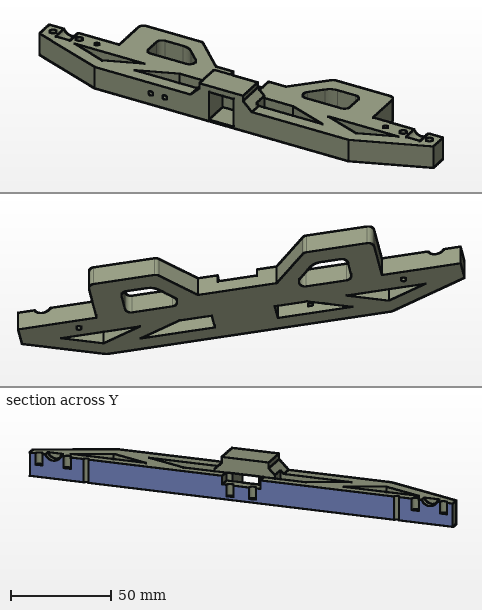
import cadquery as cq
import math

HALF_LENGTH = 112.5
BEAM_HEIGHT = 12.5
BEAM_FRONT = 15.0
END_BACK = 25.0
MIDDLE_BACK = 30.0
SHOULDER_X = 72.5
STRUT_WIDTH = 7.0

TOWER_BACK = 47.43
TOWER_FOOT_X = 20.0
TOWER_WALL = 8.0
TOWER_OUTER_WALL = 15.0
WINDOW_INNER_X = 31.0
CORNER_RADIUS = 3.0
WINDOW_BEND_RADIUS = 8.0

PART_HEIGHT = 20.5
BOSS_CENTER_X = -0.25
BOSS_HALF_TOP = 12.5
BOSS_SLOPE = 5.0
BOSS_HALF_SOCKET = 16.0
SOCKET_WIDTH = 14.0
SOCKET_FLOOR = 1.0
SOCKET_ROOF = 17.0
SOCKET_BACK_WALL = 1.0

NOTCH_WIDTH = 20.0
NOTCH_FLOOR = 8.0

HOLE_ROW_Y = 20.0
SCREW_DIAMETER = 3.6
SCREW_DEPTH = 6.0
NOTCH_SCREW_X = 6.0
GROOVE_X = 100.0
GROOVE_HALF_WIDTH = 4.0
GROOVE_RADIUS = 4.25
GROOVE_LENGTH = 8.5
GROOVE_SCREW_OFFSET = 7.5
PIN_DIAMETER = 2.5
PIN_X = 82.5
FRONT_HOLE_XS = (-40.5, -32.5)
FRONT_HOLE_Z = 6.5

TAPER_SLOPE = BEAM_FRONT / (HALF_LENGTH - SHOULDER_X)
STRUT_RISE = STRUT_WIDTH * math.hypot(1, TAPER_SLOPE)


def box(x_min, x_max, y_min, y_max, z_min, z_max):
    size = (x_max - x_min, y_max - y_min, z_max - z_min)
    return cq.Workplane("XY").box(*size, centered=False).translate((x_min, y_min, z_min))


def prism(points):
    return cq.Workplane("XY").polyline(points).close().extrude(BEAM_HEIGHT)


def mirrored_pair(right_side):
    return right_side.union(right_side.mirror("YZ"))


def vertical_hole(x, diameter, depth, top):
    return (
        cq.Workplane("XY", origin=(x, HOLE_ROW_Y, top - depth))
        .circle(diameter / 2)
        .extrude(depth)
    )


def fillet_upright_edge(body, x, y, radius):
    return body.edges(cq.selectors.NearestToPointSelector((x, y, BEAM_HEIGHT / 2))).fillet(radius)


def beam_half():
    tower_top_x = TOWER_FOOT_X + TOWER_BACK - MIDDLE_BACK
    half = prism([
        (0, 0),
        (SHOULDER_X, 0),
        (HALF_LENGTH, BEAM_FRONT),
        (HALF_LENGTH, END_BACK),
        (SHOULDER_X, END_BACK),
        (SHOULDER_X, TOWER_BACK),
        (tower_top_x, TOWER_BACK),
        (TOWER_FOOT_X, MIDDLE_BACK),
        (0, MIDDLE_BACK),
    ])
    for x in (SHOULDER_X, tower_top_x):
        half = fillet_upright_edge(half, x, TOWER_BACK, CORNER_RADIUS)
    return half


def tower_window():
    outer_x = SHOULDER_X - TOWER_OUTER_WALL
    back = TOWER_BACK - TOWER_WALL
    flank_offset = TOWER_FOOT_X - MIDDLE_BACK + TOWER_WALL * math.sqrt(2)
    bend = (back + flank_offset, back)
    corners = [
        (outer_x, END_BACK),
        (outer_x, back),
        (WINDOW_INNER_X, WINDOW_INNER_X - flank_offset),
        (WINDOW_INNER_X, END_BACK),
    ]
    window = prism([*corners[:2], bend, *corners[2:]])
    window = fillet_upright_edge(window, *bend, WINDOW_BEND_RADIUS)
    for corner in corners:
        window = fillet_upright_edge(window, *corner, CORNER_RADIUS)
    return window


def outer_truss_opening():
    half_width = (BEAM_FRONT - STRUT_RISE) / TAPER_SLOPE
    return prism([
        (SHOULDER_X - half_width, BEAM_FRONT),
        (SHOULDER_X, STRUT_RISE),
        (SHOULDER_X + half_width, BEAM_FRONT),
    ])


def inner_truss_opening():
    return prism([
        (BOSS_HALF_SOCKET, STRUT_WIDTH),
        (SHOULDER_X - STRUT_WIDTH / TAPER_SLOPE, STRUT_WIDTH),
        (SHOULDER_X - BEAM_FRONT / TAPER_SLOPE, BEAM_FRONT),
        (BOSS_HALF_SOCKET, BEAM_FRONT),
    ])


def boss():
    half_foot = BOSS_HALF_TOP + BOSS_SLOPE
    body = (
        cq.Workplane("XZ", origin=(BOSS_CENTER_X, 0, 0))
        .polyline([
            (-half_foot, BEAM_HEIGHT),
            (-BOSS_HALF_TOP, BEAM_HEIGHT + BOSS_SLOPE),
            (-BOSS_HALF_TOP, PART_HEIGHT),
            (BOSS_HALF_TOP, PART_HEIGHT),
            (BOSS_HALF_TOP, BEAM_HEIGHT + BOSS_SLOPE),
            (half_foot, BEAM_HEIGHT),
        ])
        .close()
        .extrude(-BEAM_FRONT)
    )
    overhang_end = half_foot + abs(BOSS_CENTER_X)
    overhang = box(BOSS_HALF_SOCKET, overhang_end, STRUT_WIDTH, BEAM_FRONT, BEAM_HEIGHT, PART_HEIGHT)
    return body.cut(mirrored_pair(overhang))


def socket():
    left = BOSS_CENTER_X - SOCKET_WIDTH / 2
    right = BOSS_CENTER_X + SOCKET_WIDTH / 2
    return box(left, right, 0, BEAM_FRONT - SOCKET_BACK_WALL, SOCKET_FLOOR, SOCKET_ROOF)


def notch():
    half = NOTCH_WIDTH / 2
    return box(-half, half, BEAM_FRONT - SOCKET_BACK_WALL, MIDDLE_BACK, NOTCH_FLOOR, BEAM_HEIGHT)


def groove():
    axis_lift = math.sqrt(GROOVE_RADIUS**2 - GROOVE_HALF_WIDTH**2)
    return (
        cq.Workplane("XZ", origin=(GROOVE_X, END_BACK, BEAM_HEIGHT + axis_lift))
        .circle(GROOVE_RADIUS)
        .extrude(GROOVE_LENGTH)
    )


def front_hole(x):
    return (
        cq.Workplane("XZ", origin=(x, 0, FRONT_HOLE_Z))
        .circle(PIN_DIAMETER / 2)
        .extrude(-STRUT_WIDTH)
    )


result = mirrored_pair(beam_half())
for opening in (tower_window(), outer_truss_opening(), inner_truss_opening()):
    result = result.cut(mirrored_pair(opening))
result = result.union(boss()).cut(socket()).cut(notch())

end_features = [
    groove(),
    vertical_hole(GROOVE_X - GROOVE_SCREW_OFFSET, SCREW_DIAMETER, SCREW_DEPTH, BEAM_HEIGHT),
    vertical_hole(GROOVE_X + GROOVE_SCREW_OFFSET, SCREW_DIAMETER, SCREW_DEPTH, BEAM_HEIGHT),
    vertical_hole(PIN_X, PIN_DIAMETER, BEAM_HEIGHT, BEAM_HEIGHT),
    vertical_hole(NOTCH_SCREW_X, SCREW_DIAMETER, SCREW_DEPTH, NOTCH_FLOOR),
]
for feature in end_features:
    result = result.cut(mirrored_pair(feature))

for hole_x in FRONT_HOLE_XS:
    result = result.cut(front_hole(hole_x))